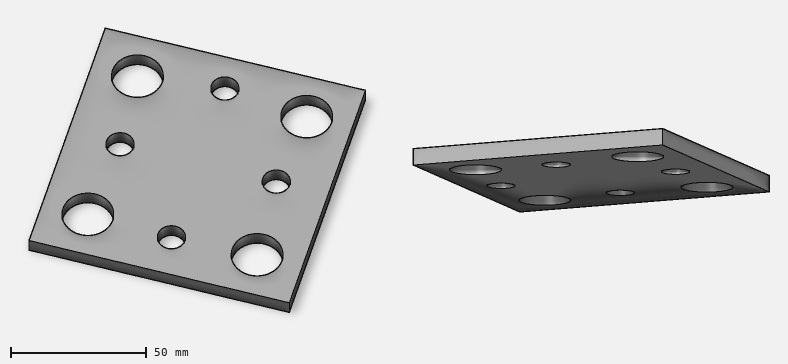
import cadquery as cq

plate_side = 100.0
plate_thickness = 6.2

corner_hole_diameter = 19.1
corner_hole_spacing = 65.0

cross_hole_diameter = 10.4
cross_spacing_x = 60.0
cross_spacing_y = 70.0
cross_center_y = 1.2

half_x = cross_spacing_x / 2
half_y = cross_spacing_y / 2
cross_points = [
    (-half_x, cross_center_y),
    (half_x, cross_center_y),
    (0, cross_center_y - half_y),
    (0, cross_center_y + half_y),
]

plate = cq.Workplane("XY").box(plate_side, plate_side, plate_thickness)

plate = (
    plate.faces(">Z")
    .workplane(origin=(0, 0, 0))
    .rarray(corner_hole_spacing, corner_hole_spacing, 2, 2)
    .hole(corner_hole_diameter)
)

result = (
    plate.faces(">Z")
    .workplane(origin=(0, 0, 0))
    .pushPoints(cross_points)
    .hole(cross_hole_diameter)
)